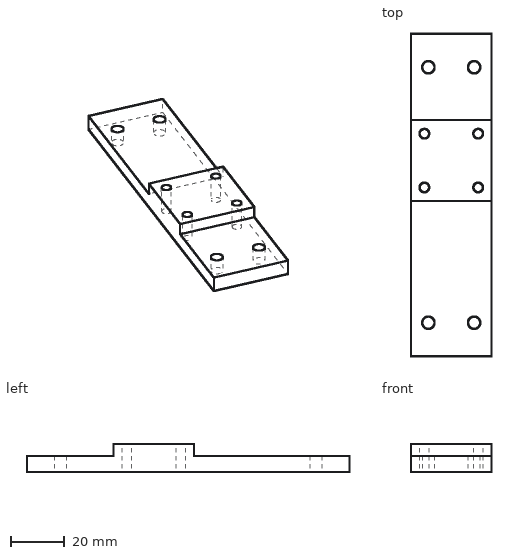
import cadquery as cq

plate_width = 30.0
plate_length = 120.0
plate_thickness = 6.0

total_height = 10.5
pad_size = plate_width
pad_end_distance = 32.2
pad_center_y = plate_length / 2 - pad_end_distance - pad_size / 2

pad_hole_diameter = 3.5
pad_hole_spacing = 20.0

mount_hole_diameter = 4.5
mount_hole_spacing_x = 17.0
mount_hole_spacing_y = 95.0
mount_end_distance = 12.5
mount_center_y = plate_length / 2 - mount_end_distance - mount_hole_spacing_y / 2


def block(length, height, center_y):
    """Full-width block standing on Z = 0."""
    return (
        cq.Workplane("XY")
        .center(0, center_y)
        .box(plate_width, length, height, centered=(True, True, False))
    )


def hole_pattern(diameter, spacing_x, spacing_y, center_y):
    """Four full-height cylinders on a rectangular pattern."""
    return (
        cq.Workplane("XY")
        .center(0, center_y)
        .rarray(spacing_x, spacing_y, 2, 2)
        .circle(diameter / 2)
        .extrude(total_height)
    )


plate = block(plate_length, plate_thickness, 0)
pad = block(pad_size, total_height, pad_center_y)
pad_holes = hole_pattern(pad_hole_diameter, pad_hole_spacing, pad_hole_spacing, pad_center_y)
mount_holes = hole_pattern(
    mount_hole_diameter, mount_hole_spacing_x, mount_hole_spacing_y, mount_center_y
)

result = plate.union(pad).cut(pad_holes).cut(mount_holes)